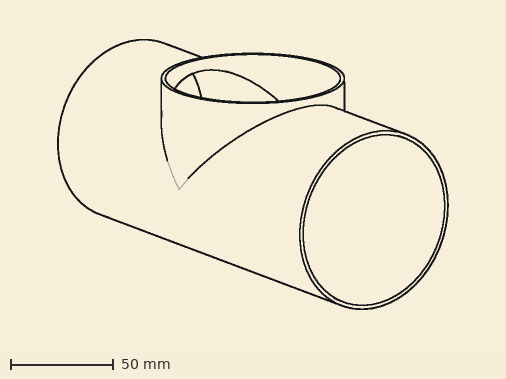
import cadquery as cq

run_length = 200.0
outer_diameter = 89.0
inner_diameter = 85.0
overall_height = 93.0

branch_height = overall_height - outer_diameter / 2


def run_cylinder(diameter):
    """Cylinder along X, centred on the origin."""
    return cq.Workplane("YZ").circle(diameter / 2).extrude(run_length / 2, both=True)


def branch_cylinder(diameter):
    """Cylinder along Z, from the run axis up to the branch rim."""
    return cq.Workplane("XY").circle(diameter / 2).extrude(branch_height)


outer_body = run_cylinder(outer_diameter).union(branch_cylinder(outer_diameter))
bore = run_cylinder(inner_diameter).union(branch_cylinder(inner_diameter))

result = outer_body.cut(bore)